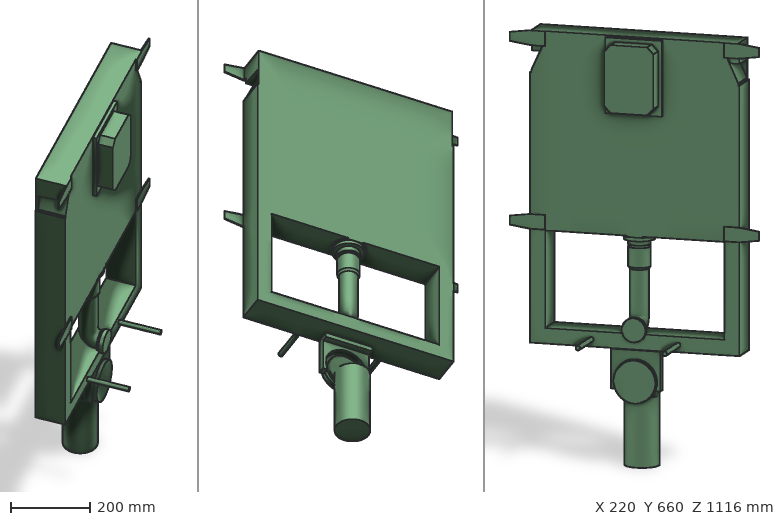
import cadquery as cq


total_height = 1116.0
depth = 80.0
frame_width = 555.0
bar_width = 40.0
frame_bottom = 309.0
post_top = 1008.0
rail_top = frame_bottom + bar_width

cistern_width = 548.0
cistern_bottom = 602.0

recess_front = 7.0
recess_bottom = 1013.0
recess_front_top = 1058.0
recess_rear_top = 1062.0
recess_step = 74.0
recess_step_top = 1078.0
recess_slope = 0.46

overall_width = 660.0
lug_thickness = 3.0
lug_root_height = 38.0
lug_tip_height = 23.0
lug_tops = (total_height, 642.0)

plate_thickness = 10.0
plate_width = 150.0
plate_height = 195.0
actuator_depth = 40.0
actuator_width = 131.0
actuator_height = 175.0
actuator_chamfer = 17.0
actuator_z = 1015.0

stud_diameter = 12.0
stud_length = 113.0
stud_spacing = 230.0
stud_z = 328.0

flush_x = depth / 2
flush_diameter = 49.0
flush_outlet_z = 360.0
flush_bend_radius = 32.0
socket_disc_diameter = 90.0
nut_diameter = 80.0
sleeve_diameter = 58.0
neck_diameter = 54.0
socket_disc_bottom = 598.0
nut_bottom = 588.0
collar_bottom = 575.0
sleeve_top = 568.0
sleeve_bottom = 518.0
sleeve_taper_end = 511.0
outlet_ring_diameter = 58.0
outlet_flange_diameter = 62.0
outlet_ring_end = 78.0
outlet_end = 90.0

bracket_gap = 3.0
bracket_top = frame_bottom - bracket_gap
bracket_bottom = 203.0
bracket_width = 131.0
bracket_rear = 74.0
bracket_plate_thickness = 20.0
bracket_ledge_depth = 37.0
bracket_ledge_thickness = 13.0
bracket_hole_diameter = 114.0

waste_diameter = 90.0
waste_front_overhang = 27.0
waste_x = waste_diameter / 2 - waste_front_overhang
waste_bend_z = 181.0
waste_inlet_z = 225.0
waste_flange_diameter = 110.0
waste_flange_front = 70.0
waste_flange_rear = 84.0


def block(x_range, y_range, z_range):
    """Box given by its limits along each axis."""
    (x0, x1), (y0, y1), (z0, z1) = x_range, y_range, z_range
    return cq.Workplane("XY").box(x1 - x0, y1 - y0, z1 - z0, centered=False).translate((x0, y0, z0))


def rod_along_x(diameter, x_start, x_end, y, z):
    """Round rod parallel to X."""
    return cq.Workplane("YZ", origin=(x_start, y, z)).circle(diameter / 2).extrude(x_end - x_start)


def make_frame():
    """Bottom rail with a post at each end."""
    half = frame_width / 2
    inner = half - bar_width
    frame = block((0, depth), (-inner, inner), (frame_bottom, rail_top))
    for y_start in (-half, inner):
        post = block((0, depth), (y_start, y_start + bar_width), (frame_bottom, post_top))
        frame = frame.union(post, clean=False)
    return frame


def make_hand_recess():
    """Recess in the -Y side: a stepped opening whose floor slopes up and inward."""
    side = -cistern_width / 2
    rise = recess_step_top - recess_bottom
    run = rise * recess_slope
    opening = (
        cq.Workplane("XZ", origin=(0, side, 0))
        .moveTo(recess_front, recess_bottom)
        .lineTo(recess_front, recess_front_top)
        .lineTo(recess_step, recess_rear_top)
        .lineTo(recess_step, recess_step_top)
        .lineTo(depth, recess_step_top)
        .lineTo(depth, recess_bottom)
        .close()
        .extrude(-run)
    )
    wedge = (
        cq.Workplane("YZ")
        .moveTo(side, recess_bottom)
        .lineTo(side + run, recess_step_top)
        .lineTo(side, recess_step_top)
        .close()
        .extrude(depth)
    )
    return opening.intersect(wedge)


def make_cistern():
    """Cistern block with a hand recess in both sides."""
    half = cistern_width / 2
    recess = make_hand_recess()
    cistern = block((0, depth), (-half, half), (cistern_bottom, total_height))
    return cistern.cut(recess).cut(recess.mirror("XZ"))


def make_lug(top):
    """Tapered wall lug on the -Y side, its root lying on the rear face."""
    root = -frame_width / 2
    tip = -overall_width / 2
    inner = root + bar_width
    taper = (lug_root_height - lug_tip_height) / 2
    bottom = top - lug_root_height
    return (
        cq.Workplane("YZ", origin=(depth, 0, 0))
        .polyline([
            (inner, top), (root, top), (tip, top - taper),
            (tip, bottom + taper), (root, bottom), (inner, bottom),
        ])
        .close()
        .extrude(lug_thickness)
    )


def make_actuator():
    """Backing plate and box with chamfered corners."""
    plate_rear = depth + plate_thickness
    plate = (
        cq.Workplane("YZ", origin=(depth, 0, actuator_z))
        .rect(plate_width, plate_height)
        .extrude(plate_thickness)
    )
    box = (
        cq.Workplane("YZ", origin=(plate_rear, 0, actuator_z))
        .rect(actuator_width, actuator_height)
        .extrude(actuator_depth)
        .edges("|X")
        .chamfer(actuator_chamfer)
    )
    return plate.union(box)


def make_flush_pipe():
    """Stepped pipe down from the cistern, bent to a flanged outlet at the rear."""
    bend_top = flush_outlet_z + flush_bend_radius
    bend_end = flush_x + flush_bend_radius
    pipe_radius = flush_diameter / 2
    straight = (
        cq.Workplane("XZ", origin=(flush_x, 0, 0))
        .polyline([
            (0, cistern_bottom),
            (nut_diameter / 2, cistern_bottom),
            (nut_diameter / 2, nut_bottom),
            (sleeve_diameter / 2, nut_bottom),
            (sleeve_diameter / 2, collar_bottom),
            (neck_diameter / 2, collar_bottom),
            (neck_diameter / 2, sleeve_top),
            (sleeve_diameter / 2, sleeve_top),
            (sleeve_diameter / 2, sleeve_bottom),
            (pipe_radius, sleeve_taper_end),
            (pipe_radius, bend_top),
            (0, bend_top),
        ])
        .close()
        .revolve(360, (0, 0, 0), (0, 1, 0))
    )
    disc_radius = socket_disc_diameter / 2
    disc_thickness = cistern_bottom - socket_disc_bottom
    socket_disc = (
        cq.Workplane("XY", origin=(flush_x, 0, socket_disc_bottom))
        .circle(disc_radius)
        .extrude(disc_thickness)
        .intersect(block((0, depth), (-disc_radius, disc_radius), (socket_disc_bottom, cistern_bottom)))
    )
    bend = (
        cq.Workplane("XY", origin=(flush_x, 0, bend_top))
        .circle(pipe_radius)
        .revolve(90, (flush_bend_radius, 11, 0), (flush_bend_radius, 0, 0))
    )
    ring = rod_along_x(outlet_ring_diameter, bend_end, outlet_ring_end, 0, flush_outlet_z)
    flange = rod_along_x(outlet_flange_diameter, outlet_ring_end, outlet_end, 0, flush_outlet_z)
    return straight.union(socket_disc).union(bend, clean=False).union(ring).union(flange)


def make_support_frame():
    """Frame, cistern, lugs, actuator, studs and flush pipe joined as one body."""
    frame = make_frame()
    body = frame.union(make_cistern().cut(frame), clean=False)
    for top in lug_tops:
        lug = make_lug(top)
        body = body.union(lug, clean=False).union(lug.mirror("XZ"), clean=False)
    for y in (-stud_spacing / 2, stud_spacing / 2):
        stud = rod_along_x(stud_diameter, depth, depth + stud_length, y, stud_z)
        body = body.union(stud, clean=False)
    body = body.union(make_actuator(), clean=False)
    return body.union(make_flush_pipe(), clean=False)


def make_bracket():
    """L-shaped bracket with an arched opening around the waste pipe inlet."""
    plate_front = bracket_rear - bracket_plate_thickness
    ledge_front = bracket_rear - bracket_ledge_depth
    half = bracket_width / 2
    plate = block((plate_front, bracket_rear), (-half, half), (bracket_bottom, bracket_top))
    ledge = block(
        (ledge_front, bracket_rear), (-half, half), (bracket_top - bracket_ledge_thickness, bracket_top)
    )
    opening = rod_along_x(bracket_hole_diameter, plate_front, bracket_rear, 0, waste_inlet_z)
    return plate.union(ledge).cut(opening)


def make_waste_pipe():
    """Vertical pipe, 45 degree oblique bend and horizontal flanged inlet."""
    radius = waste_diameter / 2
    inlet_x = waste_x + waste_inlet_z - waste_bend_z
    vertical = cq.Workplane("XY", origin=(waste_x, 0, 0)).circle(radius).extrude(waste_bend_z)
    bend_circle = cq.Wire.makeCircle(radius, cq.Vector(waste_x, 0, waste_bend_z), cq.Vector(0, 0, 1))
    oblique = cq.Solid.extrudeLinear(bend_circle, [], cq.Vector(2 * waste_diameter, 0, 2 * waste_diameter))
    keep = block(
        (waste_x - waste_diameter, inlet_x),
        (-waste_diameter, waste_diameter),
        (waste_bend_z, waste_bend_z + 2 * waste_diameter),
    )
    bend = cq.Workplane("XY").add(oblique).intersect(keep)
    inlet = rod_along_x(waste_diameter, inlet_x, waste_flange_rear, 0, waste_inlet_z)
    flange = rod_along_x(waste_flange_diameter, waste_flange_front, waste_flange_rear, 0, waste_inlet_z)
    return vertical.union(bend, clean=False).union(inlet, clean=False).union(flange)


support_frame = make_support_frame()
bracket = make_bracket()
waste_pipe = make_waste_pipe()

result = cq.Compound.makeCompound([body.solids().val() for body in (support_frame, bracket, waste_pipe)])